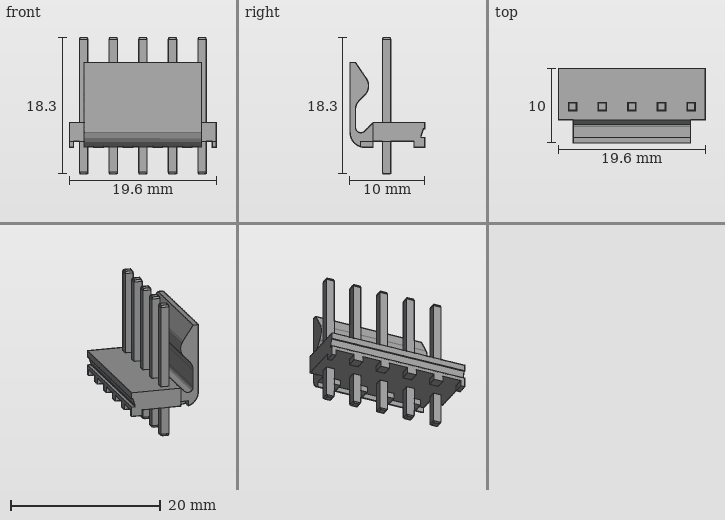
import cadquery as cq


base_length = 19.65
base_depth = 6.9
base_bottom = 0.8
base_top = 3.35

pin_count = 5
end_margin = 1.9
pin_pitch = (base_length - 2 * end_margin) / (pin_count - 1)
pin_width = 1.14
pin_length = 18.3
pin_bottom = -3.58
pin_y = 1.79
tip_height = 0.28
tip_inset = 0.1

clip_width = 15.68
clip_reach = 3.1
clip_thickness = 0.75
clip_top = 11.35
heel_radius = 2.0
trough_radius = 0.7
neck_radius = 1.75
nose_radius = 1.75
nose_drop = 3.35
nose_reach = 2.25

foot_width = 1.3
back_foot_depth = 1.47
front_foot_depth = 1.69

groove_bottom = 1.34
groove_top = 2.48
groove_depth = 0.5
groove_top_depth = 0.18
groove_wall_height = 0.2


def centred_positions(count):
    """X positions of a row at pin pitch, centred on X = 0."""
    return [(i - (count - 1) / 2) * pin_pitch for i in range(count)]


def box(width, y_min, y_max, z_min, z_max, x_centre=0.0):
    """Block centred on x_centre, between the given Y and Z limits."""
    return (
        cq.Workplane("XY")
        .box(width, y_max - y_min, z_max - z_min, centered=(True, False, False))
        .translate((x_centre, y_min, z_min))
    )


def fillet_along_x(solid, y, z, radius):
    """Round the edge parallel to X that passes through (y, z)."""
    edge = cq.selectors.NearestToPointSelector((0, y, z))
    return solid.edges("|X").edges(edge).fillet(radius)


def make_clip():
    """Clip profile extruded along X, with its heel reaching the standing plane."""
    outer_y = -clip_reach
    wall_y = outer_y + clip_thickness
    trough_z = base_top + wall_y
    nose_y = wall_y + nose_reach
    nose_z = clip_top - nose_drop
    neck_z = nose_z - nose_reach
    profile = [
        (0, base_top),
        (wall_y, trough_z),
        (wall_y, neck_z),
        (nose_y, nose_z),
        (wall_y, clip_top),
        (outer_y, clip_top),
        (outer_y, 0),
        (0, 0),
    ]
    clip = cq.Workplane("YZ").polyline(profile).close().extrude(clip_width / 2, both=True)
    clip = fillet_along_x(clip, outer_y, 0, heel_radius)
    clip = fillet_along_x(clip, wall_y, trough_z, trough_radius)
    clip = fillet_along_x(clip, wall_y, neck_z, neck_radius)
    return fillet_along_x(clip, nose_y, nose_z, nose_radius)


def make_clip_recess():
    """Space under the clip, interrupted by a foot between each pair of pins."""
    recess = box(clip_width, -front_foot_depth, 0, 0, base_bottom)
    for x in centred_positions(pin_count - 1):
        recess = recess.cut(box(foot_width, -front_foot_depth, 0, 0, base_bottom, x))
    return recess


def make_base():
    """Base block with a row of back feet; the end feet are trimmed by the base ends."""
    base = box(base_length, 0, base_depth, base_bottom, base_top)
    back_foot_y = base_depth - back_foot_depth
    feet_limit = box(base_length, back_foot_y, base_depth, 0, base_bottom)
    for x in centred_positions(pin_count + 1):
        foot = box(foot_width, back_foot_y, base_depth, 0, base_bottom, x)
        base = base.union(foot.intersect(feet_limit))
    return base


def make_back_groove():
    """Groove with a flat floor and a sloping upper wall, running the whole base."""
    floor_y = base_depth - groove_depth
    profile = [
        (base_depth, groove_bottom),
        (floor_y, groove_bottom),
        (floor_y, groove_bottom + groove_wall_height),
        (base_depth - groove_top_depth, groove_top),
        (base_depth, groove_top),
    ]
    return cq.Workplane("YZ").polyline(profile).close().extrude(base_length / 2, both=True)


def make_pin(x):
    """Square pin with a tapered tip at each end."""
    half = pin_width / 2
    pin = box(pin_width, pin_y - half, pin_y + half, pin_bottom, pin_bottom + pin_length, x)
    pin = pin.faces(">Z").chamfer(tip_height, tip_inset)
    return pin.faces("<Z").chamfer(tip_height, tip_inset)


result = make_base().cut(make_back_groove())
result = result.union(make_clip().cut(make_clip_recess()))
for pin_x in centred_positions(pin_count):
    result = result.union(make_pin(pin_x))